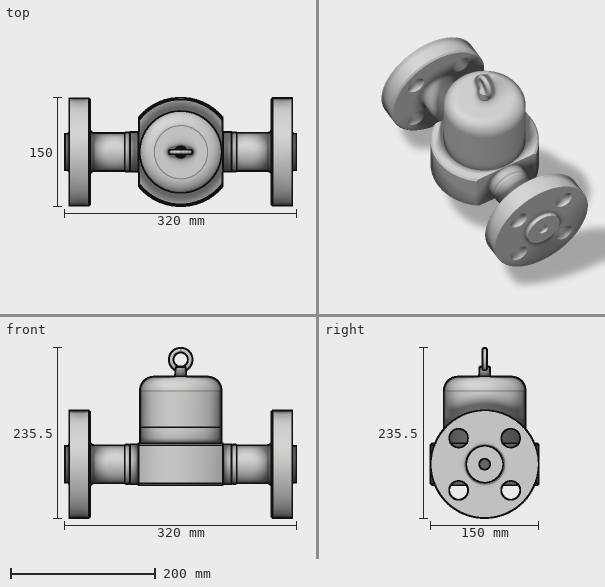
import cadquery as cq
import math


block_diameter = 150.0
block_height = 58.2
block_half_width = 58.0
block_chamfer = 2.5

boss_diameter = 113.3
cover_diameter = boss_diameter
cover_seat_z = 51.0
cover_top_z = 121.3
cover_fillet = 20.0

collar_end_x = 70.7
bead_end_x = 77.0
flange_back_x = 125.0
flange_face_x = 154.2
arm_end_x = 160.0
collar_diameter = 55.5
collar_flare = 1.0
bead_diameter = 55.0
pipe_diameter = 53.0
neck_fillet = 4.8

flange_diameter = 149.0
flange_chamfer = 2.2
raised_face_diameter = 51.0
raised_face_fillet = 2.0
bolt_hole_diameter = 26.0
bolt_spacing = 72.0
bore_diameter = 15.0

eye_top_z = 161.0
eye_wire_diameter = 6.7
eye_ring_radius = 13.0
stud_base_diameter = 16.0
stud_top_diameter = 14.7
stud_top_z = 135.7
stud_chamfer = 2.0


def make_block():
    """Upright disc with chamfered rims and two flat sides facing the pipes."""
    disc = cq.Workplane("XY").circle(block_diameter / 2).extrude(block_height / 2, both=True)
    disc = disc.edges().chamfer(block_chamfer)
    flats = cq.Workplane("XY").box(2 * block_half_width, block_diameter, block_height)
    return disc.intersect(flats)


def make_arm():
    """Flared collar, round weld bead, pipe and flange on the +X side, turned about the X axis."""
    collar_radius = collar_diameter / 2
    bead_radius = bead_diameter / 2
    pipe_radius = pipe_diameter / 2
    flange_radius = flange_diameter / 2
    face_radius = raised_face_diameter / 2
    arc_offset = 1 - math.sqrt(0.5)
    neck_arc_middle = (
        flange_back_x - neck_fillet * arc_offset,
        pipe_radius + neck_fillet * arc_offset,
    )
    face_arc_middle = (
        flange_face_x + raised_face_fillet * arc_offset,
        face_radius + raised_face_fillet * arc_offset,
    )
    bead_arc_middle = ((collar_end_x + bead_end_x) / 2, bead_radius)
    collar_chamfer = collar_radius - pipe_radius
    profile = (
        cq.Workplane("XY")
        .lineTo(0, collar_radius + collar_flare)
        .lineTo(block_half_width, collar_radius + collar_flare)
        .lineTo(block_half_width + collar_flare, collar_radius)
        .lineTo(collar_end_x - collar_chamfer, collar_radius)
        .lineTo(collar_end_x, pipe_radius)
        .threePointArc(bead_arc_middle, (bead_end_x, pipe_radius))
        .lineTo(flange_back_x - neck_fillet, pipe_radius)
        .threePointArc(neck_arc_middle, (flange_back_x, pipe_radius + neck_fillet))
        .lineTo(flange_back_x, flange_radius - flange_chamfer)
        .lineTo(flange_back_x + flange_chamfer, flange_radius)
        .lineTo(flange_face_x, flange_radius)
        .lineTo(flange_face_x, face_radius + raised_face_fillet)
        .threePointArc(face_arc_middle, (flange_face_x + raised_face_fillet, face_radius))
        .lineTo(arm_end_x, face_radius)
        .lineTo(arm_end_x, 0)
        .close()
    )
    return profile.revolve(360, (0, 0, 0), (1, 0, 0))


def make_arm_holes():
    """Four bolt holes through the +X flange and the blind bore of its pipe."""
    bolt_holes = (
        cq.Workplane("YZ")
        .workplane(offset=flange_back_x)
        .rect(bolt_spacing, bolt_spacing, forConstruction=True)
        .vertices()
        .circle(bolt_hole_diameter / 2)
        .extrude(flange_face_x - flange_back_x)
    )
    bore = (
        cq.Workplane("YZ")
        .workplane(offset=block_half_width)
        .circle(bore_diameter / 2)
        .extrude(arm_end_x - block_half_width)
    )
    return bolt_holes.union(bore)


def make_housing():
    boss = cq.Workplane("XY").circle(boss_diameter / 2).extrude(cover_seat_z)
    housing = make_block().union(boss)
    arm = make_arm()
    holes = make_arm_holes()
    for turn in (0, 180):
        housing = housing.union(arm.rotate((0, 0, 0), (0, 0, 1), turn))
        housing = housing.cut(holes.rotate((0, 0, 0), (0, 0, 1), turn))
    return housing


def make_cover():
    """Round cover resting on the boss, with a rounded top edge."""
    return (
        cq.Workplane("XY")
        .workplane(offset=cover_seat_z)
        .circle(cover_diameter / 2)
        .extrude(cover_top_z - cover_seat_z)
        .faces(">Z")
        .edges()
        .fillet(cover_fillet)
    )


def make_eyebolt():
    """Slightly tapered stud standing on the cover, carrying a ring in the XZ plane."""
    stud = (
        cq.Workplane("XY")
        .workplane(offset=cover_top_z)
        .circle(stud_base_diameter / 2)
        .workplane(offset=stud_top_z - cover_top_z)
        .circle(stud_top_diameter / 2)
        .loft()
        .faces(">Z")
        .edges()
        .chamfer(stud_chamfer)
    )
    ring_center_z = eye_top_z - eye_ring_radius - eye_wire_diameter / 2
    ring = cq.Workplane(
        cq.Solid.makeTorus(
            eye_ring_radius,
            eye_wire_diameter / 2,
            cq.Vector(0, 0, ring_center_z),
            cq.Vector(0, 1, 0),
        )
    )
    return stud.union(ring)


housing = make_housing()
cover = make_cover()
eyebolt = make_eyebolt()

result = cq.Compound.makeCompound(
    [housing.solids().val(), cover.solids().val(), eyebolt.solids().val()]
)